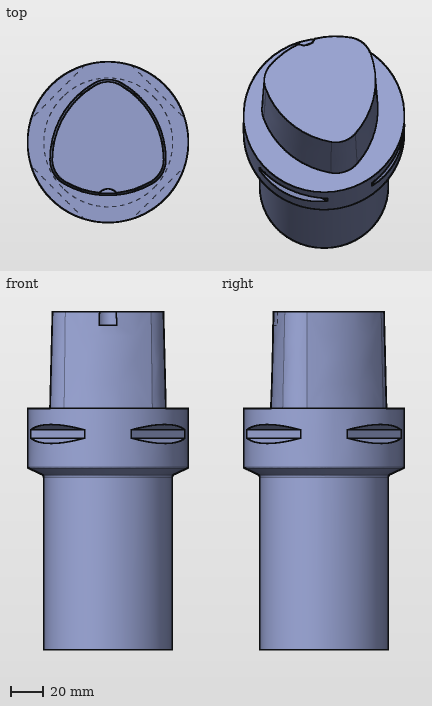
import cadquery as cq
import math

total_height = 210.0
shank_height = 60.0
body_diameter = 80.0
flange_diameter = 100.0
flange_rim_height = 37.0
flange_cone_angle = 25.0
flange_edge_fillet = 0.8
neck_fillet = 1.7

shank_base_width = 72.0
shank_taper_ratio = 20.0
corner_center_distance = 21.6
corner_angles = (90, 210, 330)
arc_half_angle = 30

notch_depth = 8.5
notch_floor_y = -29.0
notch_radius = 7.0

groove_floor_distance = 44.0
groove_floor_height = 5.0
groove_flank_angle = 30.0
groove_below_flange_top = 16.0
groove_angles = (45, 135, 225, 315)

clearance = 4.2

flange_radius = flange_diameter / 2
body_radius = body_diameter / 2
flange_top = total_height - shank_height
rim_bottom = flange_top - flange_rim_height
cone_height = (flange_radius - body_radius) * math.tan(math.radians(flange_cone_angle))
neck_z = rim_bottom - cone_height
shank_top_width = shank_base_width - shank_height / shank_taper_ratio


def polar(center, radius, angle):
    """Point at an angle in degrees on a circle about a center."""
    turn = math.radians(angle)
    return center[0] + radius * math.cos(turn), center[1] + radius * math.sin(turn)


def shank_outline(workplane, width):
    """Closed outline of three small corner arcs joined tangentially to three large side arcs."""
    corner_radius = width / 2 - corner_center_distance * math.cos(math.radians(arc_half_angle))
    side_radius = width - corner_radius
    first_angle = corner_angles[0]
    first_center = polar((0, 0), corner_center_distance, first_angle)
    outline = workplane.moveTo(*polar(first_center, corner_radius, first_angle - arc_half_angle))
    for corner_angle in corner_angles:
        corner_center = polar((0, 0), corner_center_distance, corner_angle)
        opposite_center = polar((0, 0), corner_center_distance, corner_angle + 240)
        side_angle = corner_angle + 60
        outline = outline.threePointArc(
            polar(corner_center, corner_radius, corner_angle),
            polar(corner_center, corner_radius, corner_angle + arc_half_angle),
        )
        outline = outline.threePointArc(
            polar(opposite_center, side_radius, side_angle),
            polar(opposite_center, side_radius, side_angle + arc_half_angle),
        )
    return outline.close()


def round_circle_at(body, height, radius):
    """Fillet the circular edge of a turned body whose center is nearest to a height on the Z axis."""
    edge_center = cq.NearestToPointSelector((0, 0, height))
    return body.edges("%CIRCLE").edges(edge_center).fillet(radius)


def make_body():
    """Cylindrical body and flange, with a cone between them."""
    body = (
        cq.Workplane("XZ")
        .polyline([
            (0, 0),
            (body_radius, 0),
            (body_radius, neck_z),
            (flange_radius, rim_bottom),
            (flange_radius, flange_top),
            (0, flange_top),
        ])
        .close()
        .revolve(360, (0, 0), (0, 1))
    )
    body = round_circle_at(body, rim_bottom, flange_edge_fillet)
    return round_circle_at(body, neck_z, neck_fillet)


def make_shank():
    """Tapered polygon shank standing on the flange."""
    base = shank_outline(cq.Workplane("XY").workplane(offset=flange_top), shank_base_width)
    return shank_outline(base.workplane(offset=shank_height), shank_top_width).loft(ruled=True)


def make_notch():
    """Vertical round cutter that scoops a shallow arc out of the shank wall."""
    return (
        cq.Workplane("XY")
        .workplane(offset=total_height - notch_depth)
        .center(0, notch_floor_y - notch_radius)
        .circle(notch_radius)
        .extrude(notch_depth + clearance)
    )


def make_groove(angle):
    """Straight groove cutter with sloping flanks, facing outward at an angle about Z."""
    outer_distance = flange_radius + clearance
    flare = (outer_distance - groove_floor_distance) * math.tan(math.radians(groove_flank_angle))
    half_floor = groove_floor_height / 2
    return (
        cq.Workplane("XZ")
        .polyline([
            (groove_floor_distance, -half_floor),
            (outer_distance, -half_floor - flare),
            (outer_distance, half_floor + flare),
            (groove_floor_distance, half_floor),
        ])
        .close()
        .extrude(flange_radius, both=True)
        .translate((0, 0, flange_top - groove_below_flange_top))
        .rotate((0, 0, 0), (0, 0, 1), angle)
    )


result = make_body().union(make_shank()).cut(make_notch())
for groove_angle in groove_angles:
    result = result.cut(make_groove(groove_angle))